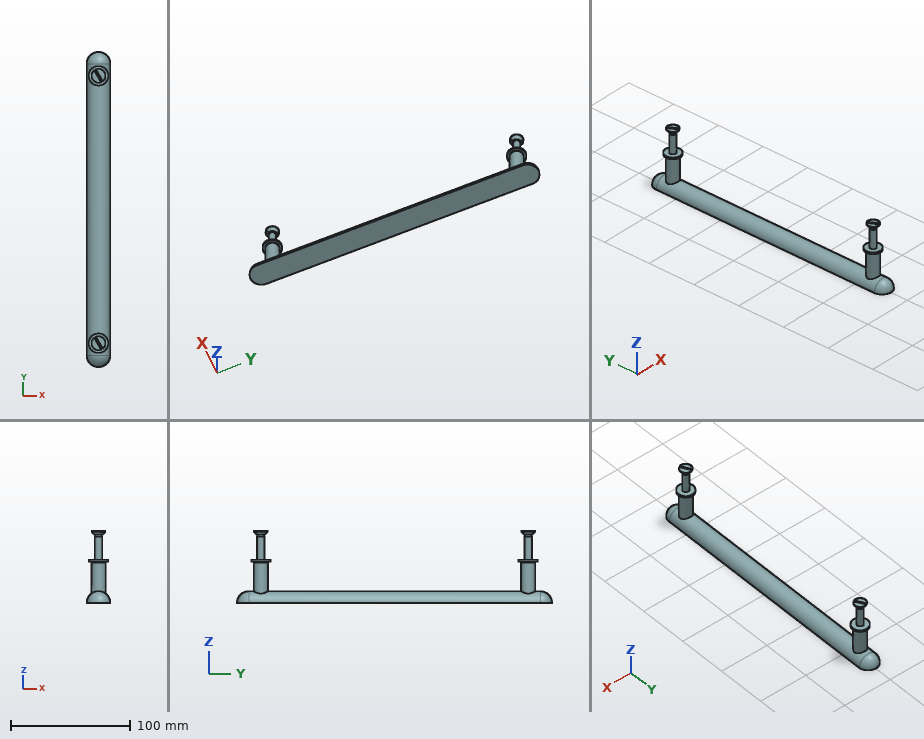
import cadquery as cq

overall_length = 264.0
grip_radius = 10.0
straight_half_length = overall_length / 2 - grip_radius

post_spacing = 224.0
post_radius = 6.0
washer_radius = 8.2
washer_bottom = 34.5
washer_thickness = 1.8
collar_height = 0.8
washer_top = washer_bottom + washer_thickness
post_top = washer_bottom - collar_height

screw_top = 60.5
shank_radius = 3.2
head_radius = 5.8
head_rim_height = 0.8
head_cone_height = head_radius - shank_radius
neck_height = 1.5
neck_radius = 3.0
screw_depth_in_post = 15.8
screw_bottom = post_top - screw_depth_in_post
slot_width = 1.5
slot_depth = 1.3
slot_angle = 120

post_places = [-post_spacing / 2, post_spacing / 2]


def cylinder(radius, bottom, top, y):
    """Upright cylinder centred on X = 0 at the given Y."""
    return cq.Workplane("XY", origin=(0, y, bottom)).circle(radius).extrude(top - bottom)


def make_grip():
    """Half-round bar closed by a quarter sphere at each end."""
    bar = (
        cq.Workplane("XZ", origin=(0, straight_half_length, 0))
        .moveTo(-grip_radius, 0)
        .threePointArc((0, grip_radius), (grip_radius, 0))
        .close()
        .extrude(2 * straight_half_length)
    )
    for end_y in (-straight_half_length, straight_half_length):
        upper_ball = cq.Solid.makeSphere(grip_radius, cq.Vector(0, end_y, 0), cq.Vector(0, 0, 1), 0, 90, 360)
        bar = bar.union(cq.Workplane(upper_ball))
    return bar


def make_handle():
    """Grip and its two posts, each post bored from above for a screw."""
    handle = make_grip()
    for y in post_places:
        handle = handle.union(cylinder(post_radius, grip_radius / 2, post_top, y))
    for y in post_places:
        handle = handle.cut(cylinder(shank_radius, screw_bottom, post_top, y))
    return handle


def make_washer(y):
    """Flat ring with a short collar that stands on the post end."""
    hole = cylinder(shank_radius, post_top, washer_top, y)
    ring = cylinder(washer_radius, washer_bottom, washer_top, y)
    collar = cylinder(post_radius, post_top, washer_bottom, y)
    return ring.union(collar).cut(hole)


def make_screw(y):
    """Countersunk screw, head up, with a straight driver slot across the head."""
    rim_bottom = screw_top - head_rim_height
    cone_bottom = rim_bottom - head_cone_height
    profile = [
        (0, screw_bottom),
        (shank_radius, screw_bottom),
        (shank_radius, cone_bottom - neck_height),
        (neck_radius, cone_bottom - neck_height),
        (neck_radius, cone_bottom),
        (shank_radius, cone_bottom),
        (head_radius, rim_bottom),
        (head_radius, screw_top),
        (0, screw_top),
    ]
    body = (
        cq.Workplane("XZ", origin=(0, y, 0))
        .polyline(profile)
        .close()
        .revolve(360, (0, 0, 0), (0, 1, 0))
    )
    slot = (
        cq.Workplane("XY", origin=(0, y, screw_top))
        .transformed(rotate=(0, 0, slot_angle))
        .rect(2 * head_radius, slot_width)
        .extrude(-slot_depth)
    )
    return body.cut(slot)


handle = make_handle()
washers = [make_washer(y) for y in post_places]
screws = [make_screw(y) for y in post_places]

bodies = [handle, *washers, *screws]
result = cq.Compound.makeCompound([body.val() for body in bodies])